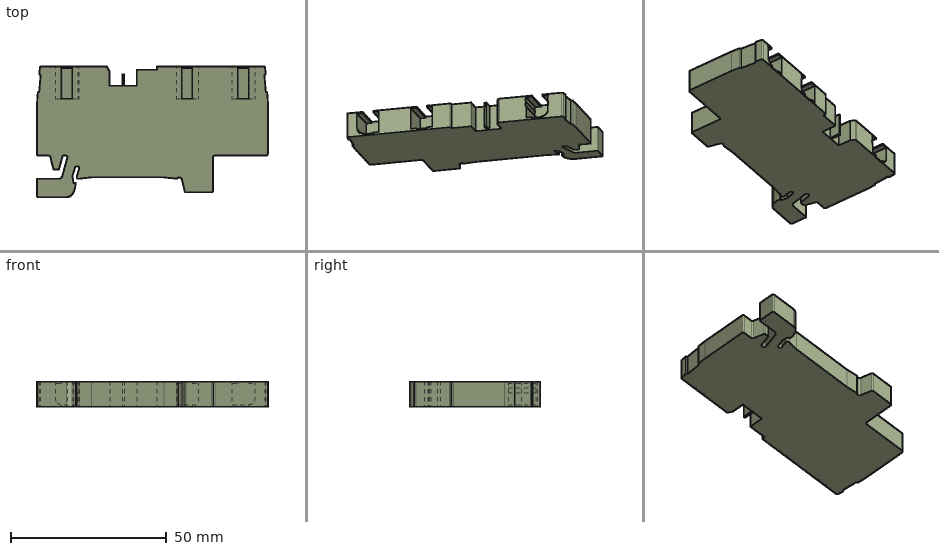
import cadquery as cq
import math

LENGTH = 74.05
HEIGHT = 42.0
THICKNESS = 8.1

FOOT_TOP = 6.0
RAIL_SEAT = 6.4
LEG_BOTTOM = 1.55
BODY_BOTTOM = 13.3
NOTCH_FLOOR = 35.85
LOW_TOP = 40.95

POCKET_HEIGHT = 10.4
POCKETS = [(7.7, 3.55, True, False), (46.4, 3.4, False, False), (64.35, 3.55, False, True)]
LIP = 0.45
UNDERCUT = 1.85
FLOOR = 0.75
FLOOR_BEVEL = 0.7
FLOOR_INSET = 0.2

GROOVE_COUNT = 2
GROOVE_PITCH = 1.55
GROOVE_DEPTH = 0.2
RIDGE_STEP = 0.1

PIN_LEFT = 27.25
PIN_WIDTH = 0.7
PIN_TOP = 39.5

CORNER = 0.45


def corner(points, index, radius):
    """Return the start, middle and end of the arc that rounds one outline point."""
    px, py = points[index - 1][:2]
    x, y = points[index][:2]
    nx, ny = points[(index + 1) % len(points)][:2]
    before = math.atan2(py - y, px - x)
    after = math.atan2(ny - y, nx - x)
    turn = math.remainder(after - before, 2 * math.pi)
    half = abs(turn) / 2
    middle = before + turn / 2
    tangent = radius / math.tan(half)
    reach = radius / math.sin(half) - radius
    return (
        (x + tangent * math.cos(before), y + tangent * math.sin(before)),
        (x + reach * math.cos(middle), y + reach * math.sin(middle)),
        (x + tangent * math.cos(after), y + tangent * math.sin(after)),
    )


def rounded_prism(points, height):
    """Extrude a closed outline of (x, y, corner radius) points; the first point is sharp."""
    outline = cq.Workplane("XY").moveTo(*points[0][:2])
    for index, (x, y, radius) in enumerate(points[1:], start=1):
        if radius:
            start, middle, end = corner(points, index, radius)
            outline = outline.lineTo(*start).threePointArc(middle, end)
        else:
            outline = outline.lineTo(x, y)
    return outline.close().extrude(height)


END_PROFILE = [
    (0.0, 30.4, 0),
    (0.2, 33.8, CORNER),
    (0.7, 33.8, 0),
    (1.1, 39.1, 0),
    (0.7, 39.55, 0),
    (0.95, HEIGHT, CORNER),
]
right_end = [(LENGTH - inset, y, radius) for inset, y, radius in reversed(END_PROFILE)]

top_edge = [
    (22.4, HEIGHT, 0.4),
    (23.25, 40.4, 0),
    (23.25, NOTCH_FLOOR, 0),
    (31.9, NOTCH_FLOOR, 0),
    (31.9, LOW_TOP, 0.15),
    (38.4, LOW_TOP, 0),
    (38.4, HEIGHT, 0.3),
]

right_leg = [
    (LENGTH, BODY_BOTTOM, 0.75),
    (56.4, BODY_BOTTOM, 0.6),
    (56.4, LEG_BOTTOM, 0.5),
    (47.4, LEG_BOTTOM, CORNER),
    (46.3, 6.3, 0.75),
    (45.25, 6.3, 0),
    (44.9, 5.9, 0.4),
    (40.6, RAIL_SEAT, 0),
]

spring_foot = [
    (17.3, RAIL_SEAT, 0),
    (12.45, 5.8, 0.6),
    (13.7, 9.9, 0.6),
    (12.4, 9.9, 0.5),
    (11.4, 6.8, 0),
    (11.7, 4.7, 0),
    (12.4, 4.7, 0),
    (12.4, 2.6, 5.5),
    (10.75, 0.0, 2.5),
    (0.0, 0.0, CORNER),
    (0.0, FOOT_TOP, 0.2),
    (7.85, FOOT_TOP, 1.1),
    (9.85, BODY_BOTTOM, 0.45),
    (8.3, BODY_BOTTOM, 0.3),
    (7.0, 8.9, 0.3),
    (5.25, 8.9, 0.3),
    (4.15, BODY_BOTTOM, 0.6),
    (0.0, BODY_BOTTOM, CORNER),
]

body = rounded_prism(END_PROFILE + top_edge + right_end + right_leg + spring_foot, THICKNESS)

pin = cq.Workplane("XY").box(PIN_WIDTH, PIN_TOP - NOTCH_FLOOR, THICKNESS, centered=False)
body = body.union(pin.translate((PIN_LEFT, NOTCH_FLOOR, 0)))


def pocket(left, width, round_left, round_right):
    """Open-mouthed pocket: a narrow opening over a wider chamber with a bevelled floor edge."""
    bottom = HEIGHT - POCKET_HEIGHT
    opening = cq.Workplane("XY").box(width, POCKET_HEIGHT, LIP, centered=False)
    opening = opening.translate((left, bottom, THICKNESS - LIP))
    chamber_width = width + 2 * UNDERCUT
    chamber_depth = THICKNESS - LIP - FLOOR
    chamber = cq.Workplane("XY").box(chamber_width, POCKET_HEIGHT, chamber_depth, centered=False)
    chamber = chamber.translate((left - UNDERCUT, bottom, FLOOR))
    if round_left:
        chamber = chamber.edges("<X and <Z").fillet(UNDERCUT + FLOOR_INSET)
    if round_right:
        chamber = chamber.edges(">X and <Z").fillet(UNDERCUT + FLOOR_INSET)
    bevel = (
        cq.Workplane("YZ", origin=(left, 0, 0))
        .moveTo(HEIGHT - FLOOR_BEVEL, FLOOR)
        .lineTo(HEIGHT, FLOOR - FLOOR_BEVEL)
        .lineTo(HEIGHT, FLOOR)
        .close()
        .extrude(width)
    )
    return opening.union(chamber).union(bevel)


for left, width, round_left, round_right in POCKETS:
    body = body.cut(pocket(left, width, round_left, round_right))


def wall_grooves(left, width):
    """Shallow round grooves that run the length of a pocket's right chamber wall."""
    ridge = left + width + UNDERCUT + RIDGE_STEP
    inside = left + width
    ceiling = THICKNESS - LIP
    bottom = ceiling - GROOVE_COUNT * GROOVE_PITCH
    profile = cq.Workplane("XZ", origin=(0, HEIGHT, 0)).moveTo(inside, ceiling).lineTo(ridge, ceiling)
    for index in range(GROOVE_COUNT):
        top = ceiling - index * GROOVE_PITCH
        profile = profile.threePointArc(
            (ridge + GROOVE_DEPTH, top - GROOVE_PITCH / 2),
            (ridge, top - GROOVE_PITCH),
        )
    return profile.lineTo(inside, bottom).close().extrude(POCKET_HEIGHT)


first_left, first_width = POCKETS[0][:2]
body = body.cut(wall_grooves(first_left, first_width))

result = body